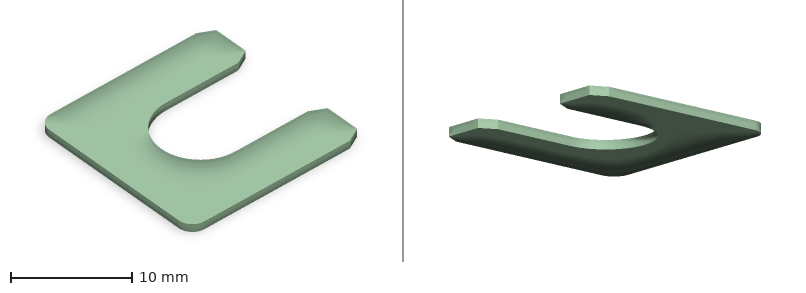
import cadquery as cq

side = 19.05
thickness = 0.82
corner_radius = 1.5

slot_width = 8.61
slot_radius = slot_width / 2
leg_width = (side - slot_width) / 2
slot_floor = leg_width
slot_center_y = slot_floor + slot_radius

tip_inset = 0.78
tip_length = 1.5


def plate():
    """Square plate with its two -Y corners rounded."""
    blank = cq.Workplane("XY").rect(side, side).extrude(thickness)
    blank = blank.translate((0, side / 2, 0))
    return blank.edges("|Z and <Y").fillet(corner_radius)


def slot():
    """Cutter for the slot, with a semicircular inner end."""
    return (
        cq.Workplane("XY")
        .moveTo(-slot_radius, side)
        .lineTo(-slot_radius, slot_center_y)
        .threePointArc((0, slot_floor), (slot_radius, slot_center_y))
        .lineTo(slot_radius, side)
        .close()
        .extrude(thickness)
    )


def tip_corner(edge_x, inward):
    """Triangular cutter at a leg tip; inward is +1 or -1 along X, into the leg."""
    return (
        cq.Workplane("XY")
        .moveTo(edge_x, side)
        .lineTo(edge_x + inward * tip_inset, side)
        .lineTo(edge_x, side - tip_length)
        .close()
        .extrude(thickness)
    )


result = plate().cut(slot())
for leg_side in (-1, 1):
    result = result.cut(tip_corner(leg_side * side / 2, -leg_side))
    result = result.cut(tip_corner(leg_side * slot_radius, leg_side))

result = result.translate((0, -side / 2, 0))